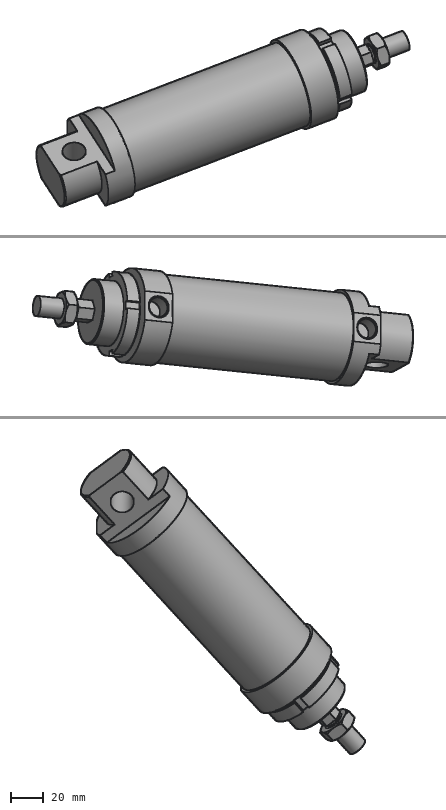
import cadquery as cq
import math


TONGUE_END = 0.0
REAR_CAP_REAR = 25.2
REAR_CAP_FRONT = 43.3
FRONT_CAP_REAR = 163.5
FRONT_CAP_FRONT = 182.0
LOCK_NUT_REAR = 184.0
LOCK_NUT_FRONT = 192.9
BOSS_FRONT = 206.5
ROD_HEX_FRONT = 217.0
ROD_NUT_REAR = 219.0
ROD_NUT_FRONT = 226.5
ROD_TIP = 242.0

CAP_DIAMETER = 58.0
TUBE_DIAMETER = 54.5
BOSS_DIAMETER = 40.2
BOSS_CHAMFER = 0.7
FLAT_OFFSET = 27.5

TONGUE_DIAMETER = 40.2
TONGUE_THICKNESS = 30.0
TONGUE_CHAMFER = 0.7
SHOULDER_Y = 31.7
PIVOT_HOLE_DIAMETER = 14.3
PIVOT_HOLE_Y = 16.2

PORT_DIAMETER = 12.0
PORT_DEPTH = 12.0
PORT_CHAMFER = 0.7

THREAD_DIAMETER = 12.5
NECK_DIAMETER = 9.7
ROD_HEX_FLATS = 12.3
ROD_NUT_FLATS = 19.8
ROD_NUT_CHAMFER_RADIAL = 1.5
ROD_NUT_CHAMFER_AXIAL = 1.0

LOCK_NUT_DIAMETER = 51.8
LOCK_NUT_CHAMFER = 0.7
SLOT_COUNT = 4
SLOT_WIDTH = 4.8
SLOT_DEPTH = 2.7


def plane_at(y):
    """Work plane across the axis at station y, facing +Y."""
    return cq.Workplane(cq.Plane(origin=(0, y, 0), xDir=(1, 0, 0), normal=(0, 1, 0)))


def cylinder(diameter, y_start, y_end):
    return plane_at(y_start).circle(diameter / 2).extrude(y_end - y_start)


def hexagon(across_flats, y_start, y_end):
    """Hexagonal bar with its corners toward +X and -X."""
    across_corners = across_flats / math.cos(math.pi / 6)
    return plane_at(y_start).polygon(6, across_corners).extrude(y_end - y_start)


def cap(y_start, y_end):
    """Round end cap with the port flat cut on its -X side."""
    disc = cylinder(CAP_DIAMETER, y_start, y_end)
    flat = cq.Workplane("XY").box(CAP_DIAMETER, y_end - y_start, CAP_DIAMETER).translate(
        (-FLAT_OFFSET - CAP_DIAMETER / 2, (y_start + y_end) / 2, 0)
    )
    return disc.cut(flat)


def port(y):
    """Blind port with a chamfered mouth, entering from the -X flat."""
    mouth_radius = PORT_DIAMETER / 2 + PORT_CHAMFER
    profile = [
        (-FLAT_OFFSET, 0),
        (-FLAT_OFFSET, mouth_radius),
        (-FLAT_OFFSET + PORT_CHAMFER, PORT_DIAMETER / 2),
        (-FLAT_OFFSET + PORT_DEPTH, PORT_DIAMETER / 2),
        (-FLAT_OFFSET + PORT_DEPTH, 0),
    ]
    bore = cq.Workplane("XY").polyline(profile).close().revolve(360, (0, 0, 0), (1, 0, 0))
    return bore.translate((0, y, 0))


def make_rear_cap():
    """Rear cap with the flat-sided pivot tongue."""
    tongue = cylinder(TONGUE_DIAMETER, TONGUE_END, REAR_CAP_REAR)
    tongue = tongue.faces("<Y").chamfer(TONGUE_CHAMFER)
    body = cap(REAR_CAP_REAR, REAR_CAP_FRONT).union(tongue)

    relief_height = (CAP_DIAMETER - TONGUE_THICKNESS) / 2
    relief_length = SHOULDER_Y - TONGUE_END
    relief_z = (TONGUE_THICKNESS + relief_height) / 2
    for side in (-1, 1):
        relief = cq.Workplane("XY").box(CAP_DIAMETER, relief_length, relief_height)
        body = body.cut(relief.translate((0, TONGUE_END + relief_length / 2, side * relief_z)))

    pivot_hole = (
        cq.Workplane("XY")
        .center(0, PIVOT_HOLE_Y)
        .circle(PIVOT_HOLE_DIAMETER / 2)
        .extrude(TONGUE_THICKNESS, both=True)
    )
    return body.cut(pivot_hole)


def make_housing():
    """Tube, both caps and the front boss in one piece."""
    tube = cylinder(TUBE_DIAMETER, REAR_CAP_FRONT, FRONT_CAP_REAR)
    boss = cylinder(BOSS_DIAMETER, FRONT_CAP_FRONT, BOSS_FRONT).faces(">Y").chamfer(BOSS_CHAMFER)
    body = make_rear_cap().union(tube).union(cap(FRONT_CAP_REAR, FRONT_CAP_FRONT)).union(boss)
    rear_port_y = (REAR_CAP_REAR + REAR_CAP_FRONT) / 2
    front_port_y = (FRONT_CAP_REAR + FRONT_CAP_FRONT) / 2
    for y in (rear_port_y, front_port_y):
        body = body.cut(port(y))
    return body


def make_lock_nut():
    """Round nut on the boss, with wrench slots around its rim."""
    nut = cylinder(LOCK_NUT_DIAMETER, LOCK_NUT_REAR, LOCK_NUT_FRONT)
    nut = nut.faces("<Y").chamfer(LOCK_NUT_CHAMFER)
    nut = nut.cut(cylinder(BOSS_DIAMETER, LOCK_NUT_REAR, LOCK_NUT_FRONT))
    thickness = LOCK_NUT_FRONT - LOCK_NUT_REAR
    slot = cq.Workplane("XY").box(2 * SLOT_DEPTH, thickness, SLOT_WIDTH).translate(
        (LOCK_NUT_DIAMETER / 2, (LOCK_NUT_REAR + LOCK_NUT_FRONT) / 2, 0)
    )
    for i in range(SLOT_COUNT):
        nut = nut.cut(slot.rotate((0, 0, 0), (0, 1, 0), i * 360 / SLOT_COUNT))
    return nut


def make_rod():
    """Rod end standing on the boss: hexagon, neck and thread."""
    rod = hexagon(ROD_HEX_FLATS, BOSS_FRONT, ROD_HEX_FRONT)
    rod = rod.union(cylinder(NECK_DIAMETER, ROD_HEX_FRONT, ROD_NUT_REAR))
    return rod.union(cylinder(THREAD_DIAMETER, ROD_NUT_REAR, ROD_TIP))


def make_rod_nut():
    """Hexagon nut on the thread, with its corners chamfered at both ends."""
    corner_radius = ROD_NUT_FLATS / 2 / math.cos(math.pi / 6)
    envelope = cylinder(2 * corner_radius, ROD_NUT_REAR, ROD_NUT_FRONT)
    envelope = envelope.faces(">Y").chamfer(ROD_NUT_CHAMFER_AXIAL, ROD_NUT_CHAMFER_RADIAL)
    envelope = envelope.faces("<Y").chamfer(ROD_NUT_CHAMFER_AXIAL, ROD_NUT_CHAMFER_RADIAL)
    nut = hexagon(ROD_NUT_FLATS, ROD_NUT_REAR, ROD_NUT_FRONT).intersect(envelope)
    return nut.cut(cylinder(THREAD_DIAMETER, ROD_NUT_REAR, ROD_NUT_FRONT))


housing = make_housing().solids()
lock_nut = make_lock_nut().solids()
rod = make_rod().solids()
rod_nut = make_rod_nut().solids()

result = cq.Compound.makeCompound([housing.val(), lock_nut.val(), rod.val(), rod_nut.val()])